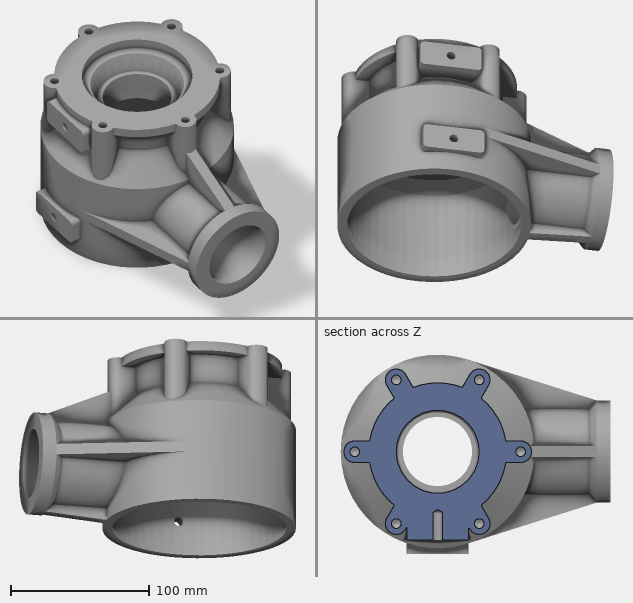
import cadquery as cq
import math

HEIGHT = 123.0
DRUM_RADIUS = 70.0
DRUM_HEIGHT = 75.0
NECK_RADIUS = 50.0
FLANGE_RADIUS = 60.0
FLANGE_THICKNESS = 7.0
WALL = 7.0
SHOULDER_TOP = DRUM_HEIGHT + DRUM_RADIUS - NECK_RADIUS
FLANGE_BOTTOM = HEIGHT - FLANGE_THICKNESS

CHAMBER_RADIUS = DRUM_RADIUS - WALL
CHAMBER_ROOF = 80.0
CHAMBER_ROOF_CHAMFER = 8.0
THROAT_RADIUS = 25.0
SEAT_TOP_RADIUS = 34.0
SEAT_DEPTH = 12.0
SEAT_TAPER_ANGLE = 25.0
RECESS_RADIUS = 40.0
RECESS_DEPTH = 8.0
RECESS_FLOOR = HEIGHT - RECESS_DEPTH
SEAT_FLOOR = RECESS_FLOOR - SEAT_DEPTH
SEAT_BOTTOM_RADIUS = SEAT_TOP_RADIUS - SEAT_DEPTH * math.tan(math.radians(SEAT_TAPER_ANGLE))

POST_COUNT = 6
POST_RADIUS = 8.0
POST_CIRCLE_RADIUS = FLANGE_RADIUS

SCREW_HOLE_DIAMETER = 6.65
SCREW_HOLE_DEPTH = 20.0
DRILL_POINT_ANGLE = 118.0

OUTLET_END = 125.0
OUTLET_AXIS_HEIGHT = 40.0
OUTLET_RADIUS = 31.5
OUTLET_BORE_RADIUS = 25.0
COLLAR_RADIUS = 37.0
COLLAR_LENGTH = 10.0
COLLAR_START = OUTLET_END - COLLAR_LENGTH
COLLAR_CONE_START = COLLAR_START - (COLLAR_RADIUS - OUTLET_RADIUS)

RIB_THICKNESS = 8.0
RIB_TOP_SLOPE = 0.44

PAD_WIDTH = 45.0
PAD_HEIGHT = 20.0
PAD_CORNER_RADIUS = 3.0
LOWER_PAD_FACE = 74.0
LOWER_PAD_HEIGHT = 25.0
UPPER_PAD_FACE = 64.0
UPPER_PAD_HEIGHT = FLANGE_BOTTOM - PAD_HEIGHT / 2


def cylinder(radius, bottom, top):
    return cq.Workplane("XY").workplane(offset=bottom).circle(radius).extrude(top - bottom)


def make_body():
    outline = [
        (0, 0),
        (DRUM_RADIUS, 0),
        (DRUM_RADIUS, DRUM_HEIGHT),
        (NECK_RADIUS, SHOULDER_TOP),
        (NECK_RADIUS, FLANGE_BOTTOM),
        (FLANGE_RADIUS, FLANGE_BOTTOM),
        (FLANGE_RADIUS, HEIGHT),
        (0, HEIGHT),
    ]
    return cq.Workplane("XZ").polyline(outline).close().revolve(360, (0, 0), (0, 1))


def make_interior():
    outline = [
        (0, 0),
        (CHAMBER_RADIUS, 0),
        (CHAMBER_RADIUS, CHAMBER_ROOF - CHAMBER_ROOF_CHAMFER),
        (CHAMBER_RADIUS - CHAMBER_ROOF_CHAMFER, CHAMBER_ROOF),
        (THROAT_RADIUS, CHAMBER_ROOF),
        (THROAT_RADIUS, SEAT_FLOOR),
        (SEAT_BOTTOM_RADIUS, SEAT_FLOOR),
        (SEAT_TOP_RADIUS, RECESS_FLOOR),
        (RECESS_RADIUS, RECESS_FLOOR),
        (RECESS_RADIUS, HEIGHT),
        (0, HEIGHT),
    ]
    return cq.Workplane("XZ").polyline(outline).close().revolve(360, (0, 0), (0, 1))


def make_post(angle):
    """Round post with the web that fills the gap between it and the neck."""
    post = cylinder(POST_RADIUS, DRUM_HEIGHT, HEIGHT).translate((POST_CIRCLE_RADIUS, 0, 0))
    web = (
        cq.Workplane("XY")
        .workplane(offset=DRUM_HEIGHT)
        .center(POST_CIRCLE_RADIUS / 2, 0)
        .rect(POST_CIRCLE_RADIUS, 2 * POST_RADIUS)
        .extrude(FLANGE_BOTTOM - DRUM_HEIGHT)
    )
    return post.union(web).rotate((0, 0, 0), (0, 0, 1), angle)


def make_screw_hole():
    """Cutting tool for a drilled hole running down from the origin."""
    radius = SCREW_HOLE_DIAMETER / 2
    point_length = radius / math.tan(math.radians(DRILL_POINT_ANGLE / 2))
    outline = [
        (0, 0),
        (radius, 0),
        (radius, -SCREW_HOLE_DEPTH),
        (0, -SCREW_HOLE_DEPTH - point_length),
    ]
    return cq.Workplane("XZ").polyline(outline).close().revolve(360, (0, 0), (0, 1))


def make_outlet():
    outline = [
        (0, 0),
        (OUTLET_RADIUS, 0),
        (OUTLET_RADIUS, COLLAR_CONE_START),
        (COLLAR_RADIUS, COLLAR_START),
        (COLLAR_RADIUS, OUTLET_END),
        (0, OUTLET_END),
    ]
    outlet = cq.Workplane("XZ").polyline(outline).close().revolve(360, (0, 0), (0, 1))
    outlet = outlet.rotate((0, 0, 0), (0, 1, 0), 90)
    return outlet.translate((0, 0, OUTLET_AXIS_HEIGHT))


def make_outlet_bore():
    bore = cq.Workplane("YZ").center(0, OUTLET_AXIS_HEIGHT).circle(OUTLET_BORE_RADIUS)
    return bore.extrude(OUTLET_END)


def make_horizontal_rib():
    """Plate whose edges run from the collar rim tangent to the drum."""
    rim_distance = math.hypot(COLLAR_START, COLLAR_RADIUS)
    tangent_angle = math.atan2(COLLAR_RADIUS, COLLAR_START) + math.acos(DRUM_RADIUS / rim_distance)
    tangent_x = DRUM_RADIUS * math.cos(tangent_angle)
    tangent_y = DRUM_RADIUS * math.sin(tangent_angle)
    outline = [
        (tangent_x, -tangent_y),
        (COLLAR_START, -COLLAR_RADIUS),
        (COLLAR_START, COLLAR_RADIUS),
        (tangent_x, tangent_y),
    ]
    plate = cq.Workplane("XY").polyline(outline).close().extrude(RIB_THICKNESS)
    return plate.translate((0, 0, OUTLET_AXIS_HEIGHT - RIB_THICKNESS / 2))


def make_vertical_rib():
    """Plate in the XZ plane that rises from the collar rim to the post on the +X side."""
    collar_top = OUTLET_AXIS_HEIGHT + COLLAR_RADIUS
    collar_bottom = OUTLET_AXIS_HEIGHT - COLLAR_RADIUS
    rise = RIB_TOP_SLOPE * (COLLAR_START - POST_CIRCLE_RADIUS)
    outline = [
        (POST_CIRCLE_RADIUS, 0),
        (DRUM_RADIUS, 0),
        (COLLAR_START, collar_bottom),
        (COLLAR_START, collar_top),
        (POST_CIRCLE_RADIUS, collar_top + rise),
    ]
    return cq.Workplane("XZ").polyline(outline).close().extrude(RIB_THICKNESS / 2, both=True)


def make_pad(face_distance, center_height):
    pad = cq.Workplane("XY").box(PAD_WIDTH, face_distance, PAD_HEIGHT)
    pad = pad.edges("|Y").fillet(PAD_CORNER_RADIUS)
    return pad.translate((0, -face_distance / 2, center_height))


def make_housing():
    housing = make_body()
    post_angles = [i * 360 / POST_COUNT for i in range(POST_COUNT)]
    for angle in post_angles:
        housing = housing.union(make_post(angle))
    housing = housing.union(make_outlet())
    housing = housing.union(make_horizontal_rib())
    housing = housing.union(make_vertical_rib())
    housing = housing.union(make_pad(LOWER_PAD_FACE, LOWER_PAD_HEIGHT))
    housing = housing.union(make_pad(UPPER_PAD_FACE, UPPER_PAD_HEIGHT))

    housing = housing.cut(make_interior())
    housing = housing.cut(make_outlet_bore())

    screw_hole = make_screw_hole()
    post_hole = screw_hole.translate((POST_CIRCLE_RADIUS, 0, HEIGHT))
    for angle in post_angles:
        housing = housing.cut(post_hole.rotate((0, 0, 0), (0, 0, 1), angle))

    pad_hole = screw_hole.rotate((0, 0, 0), (1, 0, 0), 90)
    housing = housing.cut(pad_hole.translate((0, -LOWER_PAD_FACE, LOWER_PAD_HEIGHT)))
    housing = housing.cut(pad_hole.translate((0, -UPPER_PAD_FACE, UPPER_PAD_HEIGHT)))
    return housing


result = make_housing()